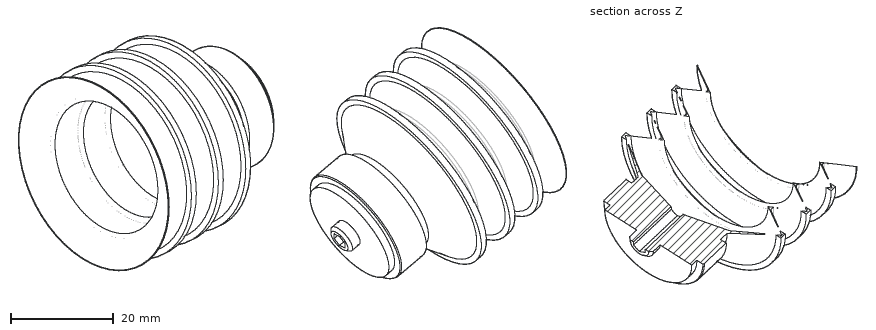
import cadquery as cq
import math

total_length = 42.3

outer_radius = 20.15
ring_width = 1.4
ring_starts = [6.47, 14.13, 21.9]
fold_root_radius = 18.85
throat_radius = 14.05
first_throat_radius = 14.55
throat_positions = [3.7, 11.0, 18.7]
throat_radii = [first_throat_radius, throat_radius, throat_radius]
throat_half_widths = [0.25, 0.4, 0.4]
throat_arc_depth = 0.15
lip_thickness = 0.15

neck_start = 29.0
neck_radius = 22.5 / 2
collar_start = 30.95
collar_end = 38.03
collar_radius = 12.65
collar_top_radius = 25.0 / 2
collar_chamfer_height = 0.3
cap_end = 39.6
cap_radius = 22.0 / 2
pin_radius = 6.0 / 2
pin_chamfer = 0.65

lip_inner_radius = 40.0 / 2
first_inner_throat_radius = 13.8
inner_throat_radius = 13.05
inner_throat_radii = [first_inner_throat_radius, inner_throat_radius, inner_throat_radius]
inner_fold_radius = 19.7
floor_edge_radius = 11.12
floor_edge_position = 28.15
floor_angle = 15.0
floor_apex = floor_edge_position + floor_edge_radius * math.tan(math.radians(floor_angle))
hex_across_flats = 2.95


def make_body():
    """Solid outer shape: bellows, neck, collar, cap and pin."""
    profile = cq.Workplane("XY").moveTo(0, 0).lineTo(outer_radius, 0).lineTo(outer_radius, lip_thickness)
    folds = zip(ring_starts, throat_positions, throat_radii, throat_half_widths)
    for ring_start, throat, radius, half_width in folds:
        arc_edge_radius = radius + throat_arc_depth
        ring_end = ring_start + ring_width
        profile = (
            profile.lineTo(arc_edge_radius, throat - half_width)
            .threePointArc((radius, throat), (arc_edge_radius, throat + half_width))
            .lineTo(fold_root_radius, ring_start)
            .lineTo(outer_radius, ring_start)
            .lineTo(outer_radius, ring_end)
            .lineTo(fold_root_radius, ring_end)
        )
    profile = (
        profile.lineTo(neck_radius, neck_start)
        .lineTo(neck_radius, collar_start)
        .lineTo(collar_radius, collar_start)
        .lineTo(collar_radius, collar_end - collar_chamfer_height)
        .lineTo(collar_top_radius, collar_end)
        .lineTo(cap_radius, collar_end)
        .lineTo(cap_radius, cap_end)
        .lineTo(pin_radius, cap_end)
        .lineTo(pin_radius, total_length - pin_chamfer)
        .lineTo(pin_radius - pin_chamfer, total_length)
        .lineTo(0, total_length)
        .close()
    )
    return profile.revolve(360, (0, 0), (0, 1))


def make_cavity():
    """Hollow that follows the folds and ends in a shallow conical floor."""
    profile = cq.Workplane("XY").moveTo(0, 0).lineTo(lip_inner_radius, 0)
    for ring_start, throat, radius in zip(ring_starts, throat_positions, inner_throat_radii):
        profile = (
            profile.lineTo(radius, throat)
            .lineTo(inner_fold_radius, ring_start + ring_width / 2)
        )
    profile = profile.lineTo(floor_edge_radius, floor_edge_position).lineTo(0, floor_apex).close()
    return profile.revolve(360, (0, 0), (0, 1))


def make_hex_passage():
    """Hexagonal through passage with corners pointing along Z."""
    across_corners = hex_across_flats / math.cos(math.radians(30))
    return (
        cq.Workplane("XZ")
        .transformed(rotate=(0, 0, 90))
        .polygon(6, across_corners)
        .extrude(-total_length)
    )


result = make_body().cut(make_cavity()).cut(make_hex_passage())